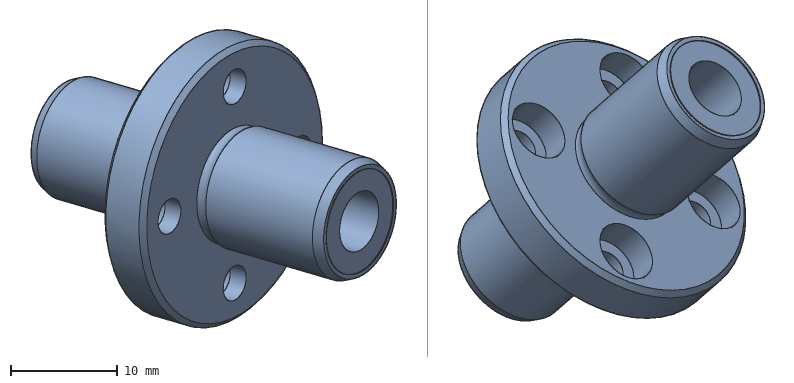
import cadquery as cq
import math

length = 35.0
body_radius = 12.0 / 2
bore_diameter = 6.0

end_chamfer_length = 1.0
end_chamfer_drop = 0.42
seal_recess_diameter = 10.3
seal_recess_depth = 0.1

flange_diameter = 28.0
flange_width = 5.0
flange_chamfer = 0.52

groove_width = 1.22
groove_depth = 0.28
groove_arc_radius = 1.25

hole_count = 4
hole_circle_radius = 20.0 / 2
hole_diameter = 3.5
counterbore_diameter = 6.0
counterbore_depth = 3.1

half_length = length / 2
half_flange = flange_width / 2


def disk(diameter, start_x, width):
    """Cylinder around the X axis, growing from start_x toward +X."""
    return cq.Workplane("YZ", origin=(start_x, 0, 0)).circle(diameter / 2).extrude(width)


def make_body():
    """Plain cylinder with a long, shallow chamfer at both ends."""
    shoulder = half_length - end_chamfer_length
    end_radius = body_radius - end_chamfer_drop
    return (
        cq.Workplane("XY")
        .moveTo(-half_length, 0)
        .lineTo(-half_length, end_radius)
        .lineTo(-shoulder, body_radius)
        .lineTo(shoulder, body_radius)
        .lineTo(half_length, end_radius)
        .lineTo(half_length, 0)
        .close()
        .revolve(360, (0, 0, 0), (1, 0, 0))
    )


def make_flange():
    """Round flange with both rims chamfered."""
    return disk(flange_diameter, -half_flange, flange_width).edges().chamfer(flange_chamfer)


def make_relief_groove():
    """Ring cutter for the groove on the +X side; its arc runs out at the flange face."""
    arc_center_height = groove_arc_radius - groove_depth
    arc_half_chord = math.sqrt(groove_arc_radius**2 - arc_center_height**2)
    lowest_offset = groove_width - arc_half_chord

    def floor_radius(offset):
        drop = math.sqrt(groove_arc_radius**2 - (offset - lowest_offset) ** 2)
        return body_radius + arc_center_height - drop

    middle_offset = groove_width / 2
    return (
        cq.Workplane("XY")
        .moveTo(half_flange, body_radius)
        .lineTo(half_flange, floor_radius(0))
        .threePointArc(
            (half_flange + middle_offset, floor_radius(middle_offset)),
            (half_flange + groove_width, body_radius),
        )
        .close()
        .revolve(360, (0, 0, 0), (1, 0, 0))
    )


def make_mounting_holes():
    """Cutters for the counterbored holes, spread evenly around the axis."""
    hole_centers = cq.Workplane("YZ", origin=(-half_flange, 0, 0)).polarArray(
        hole_circle_radius, 0, 360, hole_count
    )
    through_holes = hole_centers.circle(hole_diameter / 2).extrude(flange_width)
    counterbores = hole_centers.circle(counterbore_diameter / 2).extrude(counterbore_depth)
    return through_holes.union(counterbores)


relief_groove = make_relief_groove()
seal_recess = disk(seal_recess_diameter, half_length - seal_recess_depth, seal_recess_depth)

result = make_body()
for end_feature in (relief_groove, seal_recess):
    result = result.cut(end_feature).cut(end_feature.mirror("YZ"))
result = result.union(make_flange())
result = result.cut(disk(bore_diameter, -half_length, length))
result = result.cut(make_mounting_holes())